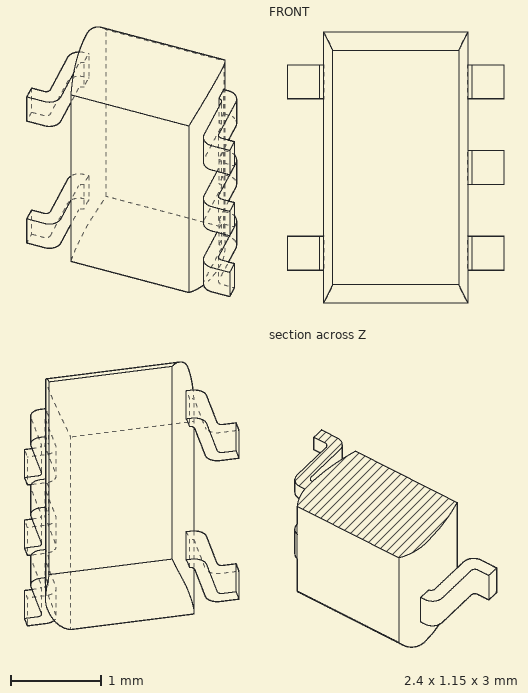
import cadquery as cq


body_width = 1.6
body_height = 3.0
standoff = 0.05
parting_y = 0.8
back_y = 1.15
side_inset = 0.102
end_inset = 0.205

lead_span = 2.4
lead_thickness = 0.15
lead_width = 0.378
lead_pitch = 0.948
shoulder_y = 0.875
shank_x = 0.995
outer_bend = 0.138
inner_bend = 0.05
embed_x = 0.6


def bulged_profile(plane, half_width, inset):
    """Symmetric section with sides bulging along arcs tangent at the parting line."""

    def arc_midpoint(face_y):
        depth = face_y - parting_y
        radius = (inset**2 + depth**2) / (2 * inset)
        sag = radius - (radius**2 - (depth / 2) ** 2) ** 0.5
        return half_width - sag, parting_y + depth / 2

    front_x, front_y = arc_midpoint(standoff)
    rear_x, rear_y = arc_midpoint(back_y)
    face_half = half_width - inset

    return (
        cq.Workplane(plane)
        .moveTo(-face_half, standoff)
        .lineTo(face_half, standoff)
        .threePointArc((front_x, front_y), (half_width, parting_y))
        .threePointArc((rear_x, rear_y), (face_half, back_y))
        .lineTo(-face_half, back_y)
        .threePointArc((-rear_x, rear_y), (-half_width, parting_y))
        .threePointArc((-front_x, front_y), (-face_half, standoff))
        .close()
    )


def make_body():
    """Intersection of the section across X and the section across Z."""
    across_x = bulged_profile("XY", body_width / 2, side_inset)
    end_plane = cq.Plane(origin=(0, 0, 0), xDir=(0, 0, 1), normal=(-1, 0, 0))
    across_z = bulged_profile(end_plane, body_height / 2, end_inset)
    return across_x.extrude(body_height / 2, both=True).intersect(
        across_z.extrude(body_width / 2, both=True)
    )


def make_lead():
    """Lead on the +X side, centred on Z = 0."""
    tip_x = lead_span / 2
    shank_inner_x = shank_x - lead_thickness
    lead = (
        cq.Workplane("XY")
        .moveTo(embed_x, shoulder_y)
        .lineTo(shank_x, shoulder_y)
        .lineTo(shank_x, lead_thickness)
        .lineTo(tip_x, lead_thickness)
        .lineTo(tip_x, 0)
        .lineTo(shank_inner_x, 0)
        .lineTo(shank_inner_x, shoulder_y - lead_thickness)
        .lineTo(embed_x, shoulder_y - lead_thickness)
        .close()
        .extrude(lead_width / 2, both=True)
    )

    def bend_edge(x, y):
        return cq.selectors.NearestToPointSelector((x, y, 0))

    lead = lead.edges("|Z").edges(bend_edge(shank_x, shoulder_y)).fillet(outer_bend)
    lead = lead.edges("|Z").edges(bend_edge(shank_inner_x, 0)).fillet(outer_bend)
    lead = lead.edges("|Z").edges(bend_edge(shank_x, lead_thickness)).fillet(inner_bend)
    inner_shoulder = bend_edge(shank_inner_x, shoulder_y - lead_thickness)
    return lead.edges("|Z").edges(inner_shoulder).fillet(inner_bend)


right_lead = make_lead()
left_lead = right_lead.mirror("YZ")

result = make_body()
for row_z in (-lead_pitch, 0, lead_pitch):
    result = result.union(right_lead.translate((0, 0, row_z)))
for row_z in (-lead_pitch, lead_pitch):
    result = result.union(left_lead.translate((0, 0, row_z)))